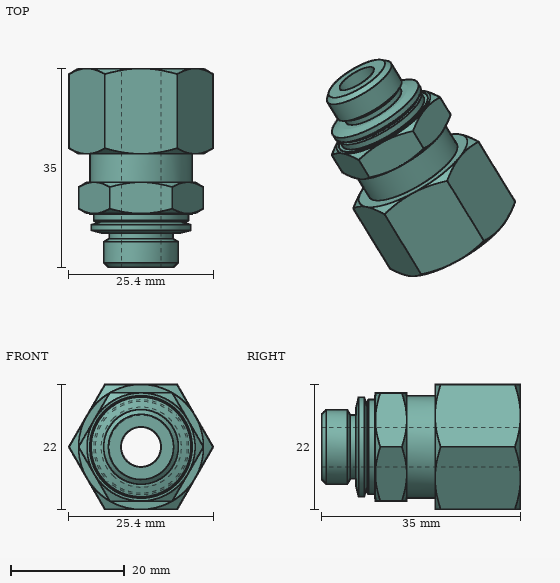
import cadquery as cq
import math

LENGTH = 34.95
BORE_RADIUS = 3.5

NUT_FLATS = 22.0
NUT_LENGTH = 15.0
BODY_FLATS = 19.02
BODY_START = 9.47
BODY_LENGTH = 5.5
HEX_CHAMFER_ANGLE = 30.0

SLEEVE_RADIUS = 9.02

STUD_RADIUS = 6.57
STUD_TIP_RADIUS = 5.75
STUD_TIP_LENGTH = 0.85
THREAD_END = 4.47
NECK_RADIUS = 5.63
NECK_START = 5.07

RING_RADIUS = 8.77
RING_FACE_RADIUS = 6.85
RING_START = 6.0
RING_RIM_START = 6.5
RING_RIM_END = 7.48

COLLAR_RADIUS = 8.35
COLLAR_CHAMFER = 0.28
COLLAR_START = 8.0
GROOVE_RADIUS = 7.05

WASHER_RADIUS = 9.02
WASHER_THICKNESS = 0.1


def chamfered_hex(flats, start, length):
    """Hexagonal prism along Y, corners on X, with both ends turned to a cone."""
    flat_radius = flats / 2
    corner_radius = flat_radius / math.cos(math.pi / 6)
    drop = (corner_radius - flat_radius) * math.tan(math.radians(HEX_CHAMFER_ANGLE))
    end = start + length
    prism = (
        cq.Workplane("XZ", origin=(0, start, 0))
        .polygon(6, 2 * corner_radius)
        .extrude(-length)
    )
    cone_ended_blank = revolved([
        (0, start),
        (flat_radius, start),
        (corner_radius, start + drop),
        (corner_radius, end - drop),
        (flat_radius, end),
        (0, end),
    ])
    return prism.intersect(cone_ended_blank)


def revolved(points):
    """Turn a (radius, Y) outline about the Y axis."""
    return cq.Workplane("XY").polyline(points).close().revolve(360, (0, 0, 0), (0, 1, 0))


nut_start = LENGTH - NUT_LENGTH
body_end = BODY_START + BODY_LENGTH
washer_start = BODY_START - WASHER_THICKNESS

turned_front = revolved([
    (0, 0),
    (STUD_TIP_RADIUS, 0),
    (STUD_RADIUS, STUD_TIP_LENGTH),
    (STUD_RADIUS, THREAD_END),
    (NECK_RADIUS, NECK_START),
    (NECK_RADIUS, RING_START),
    (RING_FACE_RADIUS, RING_START),
    (RING_RADIUS, RING_RIM_START),
    (RING_RADIUS, RING_RIM_END),
    (GROOVE_RADIUS, COLLAR_START),
    (COLLAR_RADIUS - COLLAR_CHAMFER, COLLAR_START),
    (COLLAR_RADIUS, COLLAR_START + COLLAR_CHAMFER),
    (COLLAR_RADIUS, washer_start),
    (WASHER_RADIUS, washer_start),
    (WASHER_RADIUS, BODY_START),
    (0, BODY_START),
])

body_hex = chamfered_hex(BODY_FLATS, BODY_START, BODY_LENGTH)
nut = chamfered_hex(NUT_FLATS, nut_start, NUT_LENGTH)
sleeve = (
    cq.Workplane("XZ", origin=(0, body_end, 0))
    .circle(SLEEVE_RADIUS)
    .extrude(-(nut_start - body_end))
)
bore = cq.Workplane("XZ").circle(BORE_RADIUS).extrude(-LENGTH)

result = turned_front.union(body_hex).union(sleeve).union(nut).cut(bore)